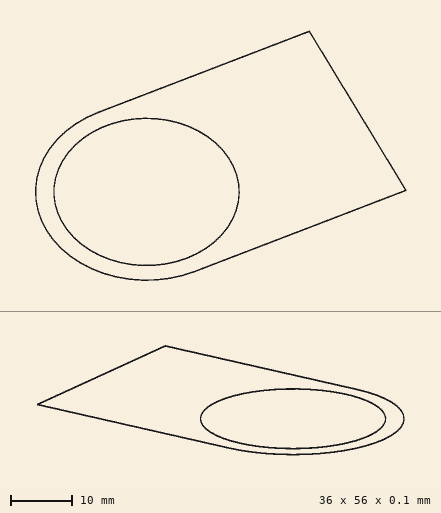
import cadquery as cq

width = 36.0
length = 56.0
thickness = 0.1
hole_diameter = 30.0

end_radius = width / 2
straight_length = length - end_radius


def make_plate():
    """Flat tab: square at the +Y end, fully rounded at the -Y end."""
    return (
        cq.Workplane("XY")
        .moveTo(-end_radius, 0)
        .lineTo(-end_radius, straight_length)
        .lineTo(end_radius, straight_length)
        .lineTo(end_radius, 0)
        .threePointArc((0, -end_radius), (-end_radius, 0))
        .close()
        .extrude(thickness)
    )


def make_hole():
    """Through hole concentric with the rounded end."""
    return cq.Workplane("XY").circle(hole_diameter / 2).extrude(thickness)


result = make_plate().cut(make_hole())